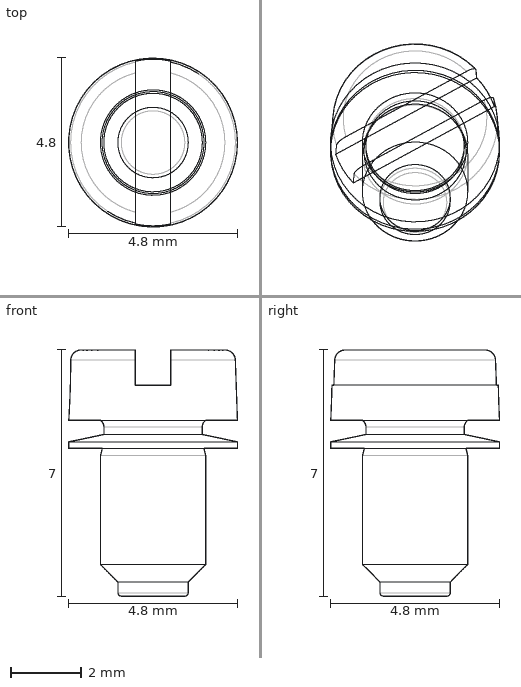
import cadquery as cq
import math

total_height = 7.0
tip_height = 0.4
cone_top = 0.9
shank_top = 4.0
washer_bottom = 4.2
rim_top = 4.39
washer_top = 4.6
flare_bottom = 4.8
head_bottom = 5.0

tip_radius = 1.0
shank_radius = 1.5
shank_end_radius = 1.45
neck_radius = 1.4
flare_radius = 1.5
washer_radius = 2.4
head_radius = 2.4

tip_round = 0.1
head_round = 0.3
head_draft = math.radians(2)
slot_width = 1.0
slot_depth = 1.0


def make_body():
    """Revolve the half profile of the shank, washer, neck and head about Z."""
    head_shoulder = total_height - head_round * (1 - math.sin(head_draft))
    head_shoulder_radius = head_radius - (head_shoulder - head_bottom) * math.tan(head_draft)
    head_top_radius = head_shoulder_radius - head_round * math.cos(head_draft)
    return (
        cq.Workplane("XZ")
        .lineTo(tip_radius - tip_round, 0)
        .radiusArc((tip_radius, tip_round), -tip_round)
        .lineTo(tip_radius, tip_height)
        .lineTo(shank_radius, cone_top)
        .lineTo(shank_radius, shank_top)
        .lineTo(shank_end_radius, washer_bottom)
        .lineTo(washer_radius, washer_bottom)
        .lineTo(washer_radius, rim_top)
        .lineTo(neck_radius, washer_top)
        .lineTo(neck_radius, flare_bottom)
        .tangentArcPoint((flare_radius, head_bottom), relative=False)
        .lineTo(head_radius, head_bottom)
        .lineTo(head_shoulder_radius, head_shoulder)
        .radiusArc((head_top_radius, total_height), -head_round)
        .lineTo(0, total_height)
        .close()
        .revolve(360, (0, 0, 0), (0, 1, 0))
    )


def make_slot():
    """Screwdriver slot running right across the head along Y."""
    slot_length = 2 * head_radius
    return (
        cq.Workplane("XY")
        .workplane(offset=total_height - slot_depth)
        .rect(slot_width, slot_length)
        .extrude(slot_depth)
    )


result = make_body().cut(make_slot())